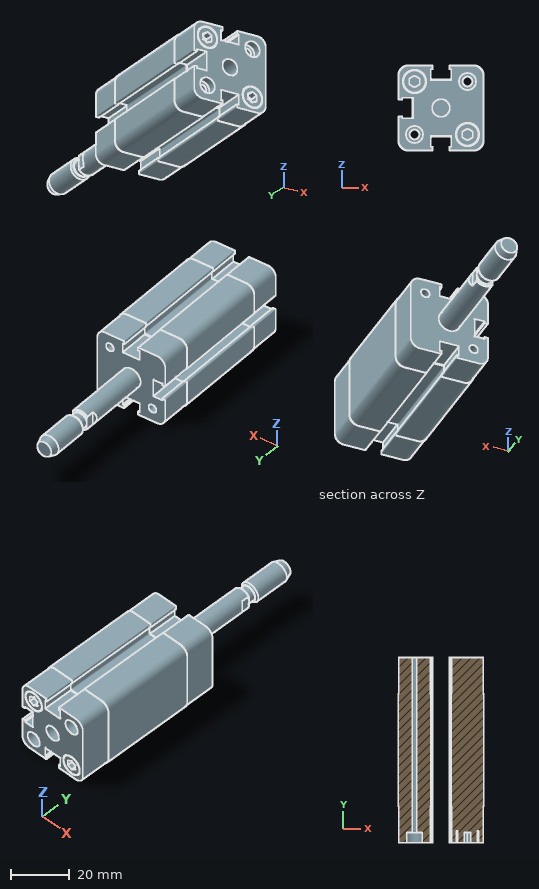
import cadquery as cq
import math

cap_side = 28.8
barrel_side = 29.05
body_length = 63.0
cap_length = 12.4
corner_radius = 3.45

slot_mouth = 5.7
cap_slot_width = 7.1
barrel_slot_width = 6.95
lip_thickness = 1.3
mouth_round = 0.35
cap_slot_depth = 5.05
barrel_slot_depth = 4.75
slot_corner_radius = 0.5
slot_angles = (0, 90, 180)

hole_offset = 9.0
through_diameter = 3.24
counterbore_diameter = 5.8
counterbore_depth = 3.5
centre_hole_diameter = 6.0
centre_hole_depth = 10.0
screw_recess_diameter = 8.0
screw_head_diameter = 7.5
screw_head_height = 4.0
socket_across_flats = 3.5
socket_depth = 3.5

total_length = 112.5
rod_diameter = 8.0
neck_diameter = 6.0
tip_diameter = 6.0
tip_taper_length = 2.85
head_length = 17.4
head_chamfer = 0.7
shoulder_chamfer = 0.25
neck_end = 20.2
flats_width = 6.0
flats_length = 3.4


def square_bar(side, start, end):
    """Square bar along Y with rounded long edges."""
    bar = cq.Workplane("XZ", origin=(0, start, 0)).rect(side, side).extrude(start - end)
    return bar.edges("|Y").fillet(corner_radius)


def slot_cutter(side, width, depth, floor_radius, start, end):
    """T-slot cutter for the top face, running along Y."""
    outer = side / 2
    floor = outer - depth
    lip = outer - lip_thickness
    mouth = cq.Workplane("XY").box(slot_mouth, end - start, depth, centered=(True, False, False))
    chamber = cq.Workplane("XY").box(width, end - start, lip - floor, centered=(True, False, False))
    if floor_radius > 0:
        chamber = chamber.edges("|Y and <Z").fillet(floor_radius)
    inner_x = slot_mouth / 2
    outer_x = inner_x + mouth_round
    arc_x = outer_x - mouth_round * math.sqrt(0.5)
    arc_z = depth - mouth_round * (1 - math.sqrt(0.5))
    flare = (
        cq.Workplane("XZ")
        .moveTo(-inner_x, depth - mouth_round)
        .lineTo(inner_x, depth - mouth_round)
        .threePointArc((arc_x, arc_z), (outer_x, depth))
        .lineTo(-outer_x, depth)
        .threePointArc((-arc_x, arc_z), (-inner_x, depth - mouth_round))
        .close()
        .extrude(start - end)
    )
    return mouth.union(chamber).union(flare).translate((0, start, floor))


def body_section(side, slot_width, slot_depth, floor_radius, start, end):
    """One length of the slotted body."""
    section = square_bar(side, start, end)
    cutter = slot_cutter(side, slot_width, slot_depth, floor_radius, start, end)
    for angle in slot_angles:
        section = section.cut(cutter.rotate((0, 0, 0), (0, 1, 0), -angle))
    return section


def front_cylinder(diameter, depth, x=0.0, z=0.0):
    """Cylinder reaching from the front face into the body."""
    return cq.Workplane("XZ").center(x, z).circle(diameter / 2).extrude(-depth)


def make_body():
    barrel_end = body_length - cap_length
    front_cap = body_section(cap_side, cap_slot_width, cap_slot_depth, 0, 0, cap_length)
    barrel = body_section(
        barrel_side,
        barrel_slot_width,
        barrel_slot_depth,
        slot_corner_radius,
        cap_length,
        barrel_end,
    )
    rear_cap = body_section(cap_side, cap_slot_width, cap_slot_depth, 0, barrel_end, body_length)
    return front_cap.union(barrel).union(rear_cap)


def cut_mounting_holes(body):
    """Counterbored through holes on one diagonal and the blind hole on the axis."""
    body = body.cut(front_cylinder(centre_hole_diameter, centre_hole_depth))
    for sign in (1, -1):
        x = z = sign * hole_offset
        body = body.cut(front_cylinder(through_diameter, body_length, x, z))
        body = body.cut(front_cylinder(counterbore_diameter, counterbore_depth, x, z))
    return body


def cut_screws(body):
    """Socket screws on the other diagonal: a gap around each head and a hexagon socket."""
    socket_corners = socket_across_flats / math.cos(math.pi / 6)
    for sign in (1, -1):
        x = -sign * hole_offset
        z = sign * hole_offset
        recess = front_cylinder(screw_recess_diameter, screw_head_height, x, z)
        head = front_cylinder(screw_head_diameter, screw_head_height, x, z)
        socket = cq.Workplane("XZ").polygon(6, socket_corners).extrude(-socket_depth)
        socket = socket.rotate((0, 0, 0), (0, 1, 0), 90).translate((x, 0, z))
        body = body.cut(recess.cut(head)).cut(socket)
    return body


def make_rod():
    """Turned rod with a tapered tip, a neck and two wrench flats beside the neck."""
    rod_radius = rod_diameter / 2
    neck_radius = neck_diameter / 2
    neck_start_y = total_length - head_length
    shoulder_y = total_length - neck_end
    profile = [
        (0, body_length),
        (rod_radius, body_length),
        (rod_radius, shoulder_y - shoulder_chamfer),
        (rod_radius - shoulder_chamfer, shoulder_y),
        (neck_radius, shoulder_y),
        (neck_radius, neck_start_y),
        (rod_radius - head_chamfer, neck_start_y),
        (rod_radius, neck_start_y + head_chamfer),
        (rod_radius, total_length - tip_taper_length),
        (tip_diameter / 2, total_length),
        (0, total_length),
    ]
    rod = cq.Workplane("XY").polyline(profile).close().revolve(360, (0, 0, 0), (0, 1, 0))

    flat_x = flats_width / 2
    flat_rise = rod_radius - flat_x
    flat_end_y = shoulder_y - flats_length
    flat_profile = [
        (flat_x, shoulder_y),
        (flat_x, flat_end_y),
        (rod_radius, flat_end_y - flat_rise),
        (rod_radius, shoulder_y),
    ]
    flat = cq.Workplane("XY").polyline(flat_profile).close().extrude(rod_radius, both=True)
    return rod.cut(flat).cut(flat.mirror("YZ"))


body = cut_screws(cut_mounting_holes(make_body()))
result = body.union(make_rod())